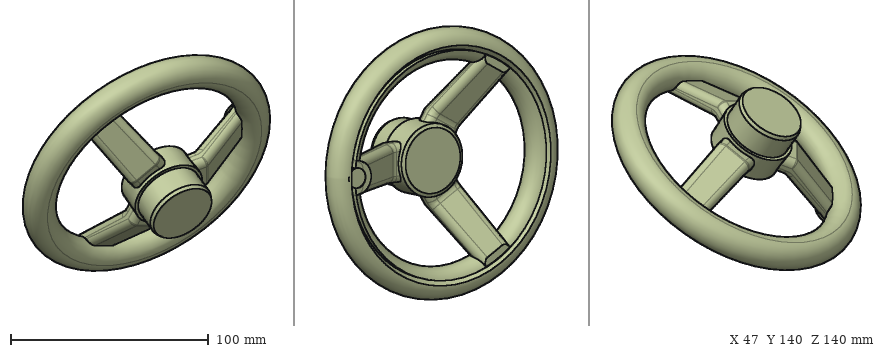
import cadquery as cq

wheel_radius = 70.0
grip_radius = 8.47
grip_circle_radius = wheel_radius - grip_radius
groove_inner_radius = 59.1
groove_outer_radius = 61.6
groove_depth = 3.5

hub_face_x = 16.1
shoulder_x = 32.0
hub_end_x = 47.0
hub_front_radius = 18.9
shoulder_radius = 19.3
hub_diameter = 35.0
hub_front_chamfer = 2.0
hub_front_chamfer_length = 0.8
hub_end_chamfer = 0.8
hub_end_chamfer_length = 2.1

spoke_count = 3
spoke_root_radius = 12.6
spoke_rear_x = 29.8
spoke_front_x = 19.5
rear_bend_radius = 23.4
front_bend_radius = 21.7
rear_slope = 0.62
front_slope = 0.58
spoke_root_width = 20.7
spoke_tip_width = 17.9
spoke_edge_round = 3.9
rear_bend_round = 1.4
front_bend_round = 5.6
spoke_flat_x = 0.4
spoke_blank_radius = wheel_radius
bend_reach = 1.4

boss_radius = 8.8
boss_center_radius = 58.0
boss_depth = 5.6
pin_radius = 5.2
pin_face_x = 0.1


def disc(radius, start_x, end_x, center_y=0.0):
    """Make a cylinder parallel to the wheel axis."""
    plane = cq.Workplane("YZ", origin=(start_x, center_y, 0))
    return plane.circle(radius).extrude(end_x - start_x)


def make_rim():
    grip = (
        cq.Workplane("XY")
        .center(grip_radius, grip_circle_radius)
        .circle(grip_radius)
        .revolve(360, (-grip_radius, -grip_circle_radius), (1.4 - grip_radius, -grip_circle_radius))
    )
    groove_profile = [
        (0, groove_inner_radius),
        (0, groove_outer_radius),
        (groove_depth, groove_inner_radius),
    ]
    groove = cq.Workplane("XY").polyline(groove_profile).close().revolve(360, (0, 0), (1, 0))
    return grip.cut(groove)


def make_hub():
    profile = [
        (hub_face_x, 0),
        (hub_face_x, hub_front_radius - hub_front_chamfer),
        (hub_face_x + hub_front_chamfer_length, hub_front_radius),
        (shoulder_x, shoulder_radius),
        (shoulder_x, hub_diameter / 2),
        (hub_end_x - hub_end_chamfer_length, hub_diameter / 2),
        (hub_end_x, hub_diameter / 2 - hub_end_chamfer),
        (hub_end_x, 0),
    ]
    return cq.Workplane("XY").polyline(profile).close().revolve(360, (0, 0), (1, 0))


def make_spoke():
    """Make a tapered, cranked spoke running along +Y."""
    rear_tip_x = spoke_rear_x - rear_slope * (spoke_blank_radius - rear_bend_radius)
    front_tip_x = spoke_front_x - front_slope * (spoke_blank_radius - front_bend_radius)
    side_profile = [
        (spoke_front_x, spoke_root_radius),
        (spoke_rear_x, spoke_root_radius),
        (spoke_rear_x, rear_bend_radius),
        (rear_tip_x, spoke_blank_radius),
        (front_tip_x, spoke_blank_radius),
        (spoke_front_x, front_bend_radius),
    ]
    blank = cq.Workplane("XY").polyline(side_profile).close().extrude(spoke_root_width, both=True)
    for bend_x, bend_y, bend_round in (
        (spoke_rear_x, rear_bend_radius, rear_bend_round),
        (spoke_front_x, front_bend_radius, front_bend_round),
    ):
        corner = cq.selectors.BoxSelector(
            (bend_x - bend_reach, bend_y - bend_reach, -bend_reach),
            (bend_x + bend_reach, bend_y + bend_reach, bend_reach),
        )
        blank = blank.edges(corner).fillet(bend_round)

    width_outline = [
        (spoke_root_radius, -spoke_root_width / 2),
        (spoke_blank_radius, -spoke_tip_width / 2),
        (spoke_blank_radius, spoke_tip_width / 2),
        (spoke_root_radius, spoke_root_width / 2),
    ]
    taper = (
        cq.Workplane("YZ").polyline(width_outline).close().extrude(wheel_radius, both=True)
    )
    spoke = blank.intersect(taper)
    spoke = spoke.edges("not(|Z or <Y or >Y)").fillet(spoke_edge_round)
    return spoke.intersect(disc(groove_inner_radius, spoke_flat_x, shoulder_x))


def make_handle_boss():
    """Make the boss and its locating pin at the tip of the +Y spoke."""
    boss = disc(boss_radius, spoke_flat_x, boss_depth, boss_center_radius)
    boss = boss.intersect(disc(groove_inner_radius, 0, boss_depth))
    pin = disc(pin_radius, pin_face_x, boss_depth, boss_center_radius)
    return boss.union(pin)


result = make_rim().union(make_hub())
spoke = make_spoke()
for index in range(spoke_count):
    angle = index * 360 / spoke_count
    result = result.union(spoke.rotate((0, 0, 0), (1, 0, 0), angle))
result = result.union(make_handle_boss())